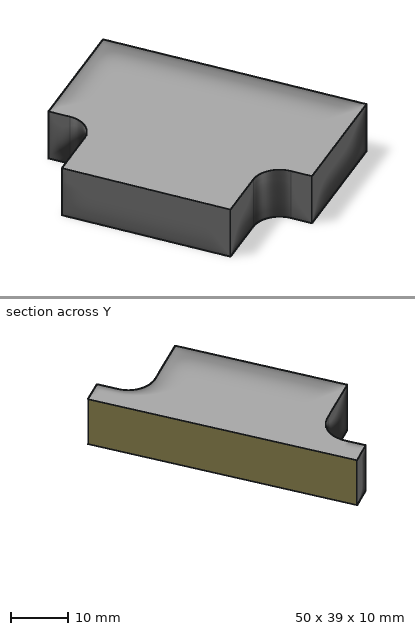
import cadquery as cq

head_width = 50
head_depth = 24
stem_width = 32
stem_depth = 15
thickness = 10
corner_radius = 5

total_depth = head_depth + stem_depth
head_front_y = total_depth / 2 - head_depth

head = cq.Workplane("XY").box(head_width, head_depth, thickness).translate(
    (0, head_front_y + head_depth / 2, 0)
)
stem = cq.Workplane("XY").box(stem_width, stem_depth, thickness).translate(
    (0, head_front_y - stem_depth / 2, 0)
)
plate = head.union(stem)

inside_corners = [(side * stem_width / 2, head_front_y, 0) for side in (-1, 1)]
for corner in inside_corners:
    plate = plate.edges(cq.selectors.NearestToPointSelector(corner)).fillet(corner_radius)

result = plate